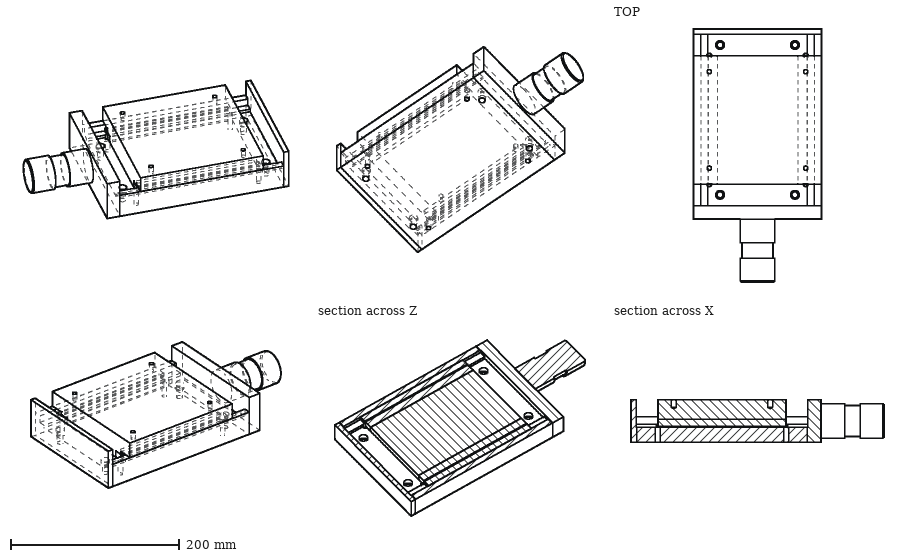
import cadquery as cq
import math


stage_width = 152.3
stage_height = 50.8
total_length = 300.5

base_length = 203.3
base_height = 30.5
floor_height = 18.0
wall_thickness = 8.7
channel_width = stage_width - 2 * wall_thickness
ledge_width = 8.5
ledge_height = 21.5

mount_spacing_x = 89.0
mount_spacing_y = 177.8
mount_hole_diameter = 7.2
counterbore_diameter = 10.2
counterbore_depth = 6.0

front_plate_thickness = 16.0
rear_plate_thickness = 6.3

table_length = stage_width
table_bottom = 31.0
saddle_clearance = 0.5
saddle_bottom = floor_height + saddle_clearance
saddle_width = 116.5

table_hole_spacing = 114.5
table_hole_diameter = 5.0
table_hole_depth = 9.0
drill_point_angle = 118.0

floor_hole_diameter = 5.5
floor_hole_spacing_x = table_hole_spacing
floor_hole_spacing_y = table_length

outer_rail_top = 25.5
inner_rail_width = 10.2
inner_rail_top = 27.0
outer_rail_x = (channel_width - ledge_width) / 2
inner_rail_x = (saddle_width - inner_rail_width) / 2

knob_diameter = 41.0
knob_groove_diameter = 37.0
knob_groove_length = 18.0
knob_chamfer = 1.5
knob_length = total_length - base_length - front_plate_thickness - rear_plate_thickness
knob_band_length = (knob_length - knob_groove_length) / 2
knob_axis_z = stage_height / 2

SIDES = (-1, 1)


def block(width, length, bottom, top, x=0.0, y=0.0):
    """Box centred on (x, y) that spans the heights from bottom to top."""
    start = cq.Workplane("XY", origin=(x, y, bottom))
    return start.box(width, length, top - bottom, centered=(True, True, False))


def four_positions(spacing_x, spacing_y, height):
    """Workplane at the given height with a 2 x 2 pattern of points around the origin."""
    return cq.Workplane("XY", origin=(0, 0, height)).rarray(spacing_x, spacing_y, 2, 2)


def mount_hole_cutters():
    positions = four_positions(mount_spacing_x, mount_spacing_y, floor_height)
    return positions.circle(mount_hole_diameter / 2).extrude(-floor_height)


def counterbore_cutters():
    positions = four_positions(mount_spacing_x, mount_spacing_y, floor_height)
    return positions.circle(counterbore_diameter / 2).extrude(-counterbore_depth)


def floor_hole_cutters():
    positions = four_positions(floor_hole_spacing_x, floor_hole_spacing_y, ledge_height)
    return positions.circle(floor_hole_diameter / 2).extrude(-ledge_height)


def table_hole_cutters():
    """Drilled blind holes, each ending in a cone."""
    radius = table_hole_diameter / 2
    point_length = radius / math.tan(math.radians(drill_point_angle / 2))
    drill = (
        cq.Workplane("XZ")
        .lineTo(radius, 0)
        .lineTo(radius, -table_hole_depth)
        .lineTo(0, -table_hole_depth - point_length)
        .close()
        .revolve(360, (0, 0, 0), (0, 1, 0))
        .val()
    )
    positions = four_positions(table_hole_spacing, table_hole_spacing, stage_height)
    return positions.eachpoint(lambda place: drill.moved(place), combine=False)


def make_base():
    base = block(stage_width, base_length, 0, base_height)
    base = base.cut(block(channel_width, base_length, ledge_height, base_height))
    base = base.cut(block(channel_width - 2 * ledge_width, base_length, floor_height, ledge_height))
    base = base.cut(mount_hole_cutters())
    base = base.cut(counterbore_cutters())
    return base.cut(floor_hole_cutters())


def make_end_plate(side, thickness):
    """Full-height plate against one end of the base: side -1 is the front, +1 the rear."""
    center_y = side * (base_length + thickness) / 2
    return block(stage_width, thickness, 0, stage_height, y=center_y)


def make_outer_rail(side):
    return block(ledge_width, table_length, ledge_height, outer_rail_top, x=side * outer_rail_x)


def make_inner_rail(side):
    return block(inner_rail_width, table_length, saddle_bottom, inner_rail_top, x=side * inner_rail_x)


def make_table():
    table = block(stage_width, table_length, table_bottom, stage_height)
    table = table.union(block(saddle_width, table_length, saddle_bottom, table_bottom))
    for side in SIDES:
        table = table.cut(make_inner_rail(side))
    return table.cut(table_hole_cutters())


def make_knob():
    start_y = -base_length / 2 - front_plate_thickness
    knob = cq.Workplane("XZ", origin=(0, start_y, knob_axis_z))
    knob = knob.circle(knob_diameter / 2).extrude(knob_band_length)
    knob = knob.faces("<Y").workplane().circle(knob_groove_diameter / 2).extrude(knob_groove_length)
    knob = knob.faces("<Y").workplane().circle(knob_diameter / 2).extrude(knob_band_length)
    return knob.faces("<Y").chamfer(knob_chamfer)


base = make_base()
front_plate = make_end_plate(-1, front_plate_thickness)
rear_plate = make_end_plate(1, rear_plate_thickness)
table = make_table()
knob = make_knob()
outer_rails = [make_outer_rail(side).val() for side in SIDES]
inner_rails = [make_inner_rail(side).val() for side in SIDES]

result = cq.Compound.makeCompound(
    [base.val(), front_plate.val(), rear_plate.val(), table.val(), knob.val(), *outer_rails, *inner_rails]
)